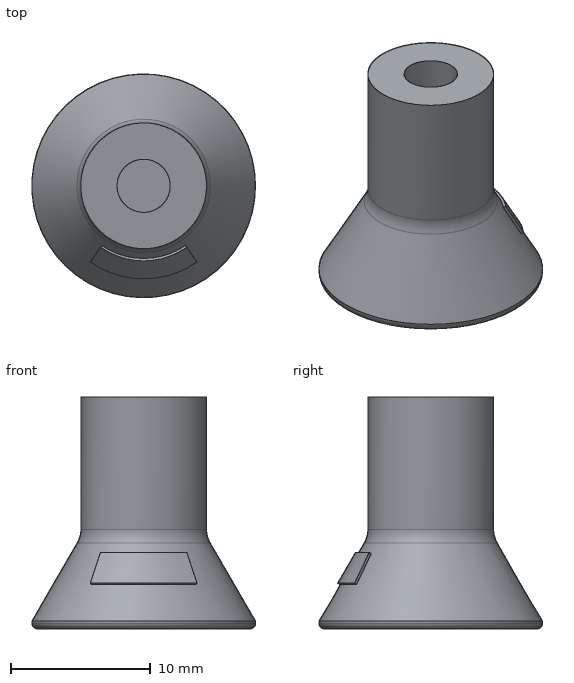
import cadquery as cq
import math

total_height = 16.6
stem_radius = 4.5
base_radius = 8.0
bore_diameter = 3.8
bore_depth = 2.24

base_round = 0.4
rim_top = 0.55
neck_top = 7.12
neck_radius = 2.0
neck_bottom = 6.13

pad_low = 3.17
pad_high = 5.38
pad_thickness = 0.2
pad_sweep = 70.0

blend_angle = math.asin((neck_top - neck_bottom) / neck_radius)


def blend_point(angle):
    """Point (radius, height) on the neck blend, turned from the stem by angle."""
    return (
        stem_radius + neck_radius * (1 - math.cos(angle)),
        neck_top - neck_radius * math.sin(angle),
    )


skirt_top = blend_point(blend_angle)
skirt_bottom = (base_radius, rim_top)
skirt_run = skirt_bottom[0] - skirt_top[0]
skirt_drop = skirt_top[1] - skirt_bottom[1]
skirt_length = math.hypot(skirt_run, skirt_drop)


def skirt_point(height, offset=0.0):
    """Point on the skirt at a height, moved outward square to its surface."""
    radius = base_radius - (height - rim_top) * skirt_run / skirt_drop
    return (
        radius + offset * skirt_drop / skirt_length,
        height + offset * skirt_run / skirt_length,
    )


def make_body():
    """Stem, neck blend, flared skirt and rounded rim in one revolve."""
    round_offset = base_round * (1 - math.sqrt(0.5))
    return (
        cq.Workplane("XZ")
        .lineTo(base_radius - base_round, 0)
        .threePointArc(
            (base_radius - round_offset, round_offset),
            (base_radius, base_round),
        )
        .lineTo(*skirt_bottom)
        .lineTo(*skirt_top)
        .threePointArc(blend_point(blend_angle / 2), (stem_radius, neck_top))
        .lineTo(stem_radius, total_height)
        .lineTo(0, total_height)
        .close()
        .revolve(360, (0, 0, 0), (0, 1, 0))
    )


def make_pad():
    """Raised pad that follows the skirt; it starts inside the skirt to fuse."""
    profile = [
        skirt_point(pad_low, -pad_thickness),
        skirt_point(pad_low, pad_thickness),
        skirt_point(pad_high, pad_thickness),
        skirt_point(pad_high, -pad_thickness),
    ]
    return (
        cq.Workplane("XZ")
        .polyline(profile)
        .close()
        .revolve(pad_sweep, (0, 0, 0), (0, 1, 0))
        .rotate((0, 0, 0), (0, 0, 1), -90 - pad_sweep / 2)
    )


bore = (
    cq.Workplane("XY", origin=(0, 0, total_height - bore_depth))
    .circle(bore_diameter / 2)
    .extrude(bore_depth)
)

result = make_body().union(make_pad()).cut(bore)